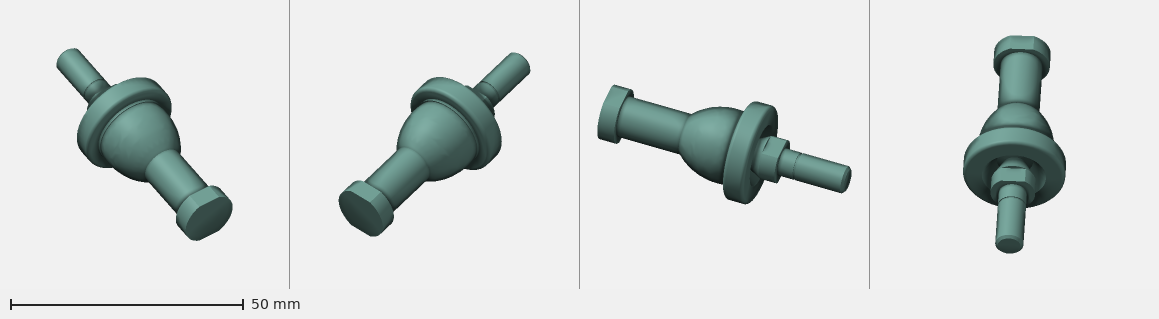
import cadquery as cq
import math

TOTAL_LENGTH = 55.2

SHANK_RADIUS = 3.05
SHANK_CHAMFER = 0.55
GROOVE_START = 11.05
GROOVE_WIDTH = 0.5
GROOVE_DEPTH = 0.2
COLLAR_START = 15.0
COLLAR_END = 18.65
COLLAR_RADIUS = 4.8
COLLAR_ACROSS_FLATS = 8.05
NECK_RADIUS = 2.5
NECK_TAPER_ANGLE = 27.0
BALL_CENTER = 27.75
BALL_RADIUS = 5.3

FLANGE_START = 19.85
FLANGE_WIDTH = 4.85
FLANGE_DIAMETER = 22.0
FLANGE_FILLET = 0.85
HUB_END = 25.35
HUB_RADIUS = 8.35
DOME_START_RADIUS = 8.05
DOME_CREST_X = 27.6
DOME_CREST_RADIUS = 8.3
DOME_END = 37.1
STEM_RADIUS = 4.5
HEAD_LENGTH = 3.8
HEAD_RADIUS = 6.05
HEAD_ACROSS_FLATS = 11.05
RECESS_MOUTH_RADIUS = 6.9
RECESS_INNER_RADIUS = 3.85


def revolve_about_x(profile):
    """Turn a closed half profile, drawn as (x, radius), around the X axis."""
    return profile.close().revolve(360, (0, 0, 0), (1, 0, 0))


def ball_surface_x(radius):
    """X where the near side of the ball has the given radius about the axis."""
    return BALL_CENTER - math.sqrt(BALL_RADIUS**2 - radius**2)


def flatted_disc(start, length, radius, across_flats):
    """Disc along X with two parallel flats facing +Z and -Z."""
    disc = cq.Workplane("YZ", origin=(start, 0, 0)).circle(radius).extrude(length)
    slab = cq.Workplane("YZ", origin=(start, 0, 0)).rect(2 * radius, across_flats).extrude(length)
    return disc.intersect(slab)


def make_ball():
    return cq.Workplane("XY").sphere(BALL_RADIUS).translate((BALL_CENTER, 0, 0))


def make_ball_stud():
    groove_radius = SHANK_RADIUS - GROOVE_DEPTH
    groove_end = GROOVE_START + GROOVE_WIDTH
    shank = revolve_about_x(
        cq.Workplane("XY")
        .lineTo(0, SHANK_RADIUS - SHANK_CHAMFER)
        .lineTo(SHANK_CHAMFER, SHANK_RADIUS)
        .lineTo(GROOVE_START, SHANK_RADIUS)
        .lineTo(GROOVE_START, groove_radius)
        .lineTo(groove_end, groove_radius)
        .lineTo(groove_end, SHANK_RADIUS)
        .lineTo(COLLAR_START, SHANK_RADIUS)
        .lineTo(COLLAR_START, 0)
    )
    collar = flatted_disc(
        COLLAR_START, COLLAR_END - COLLAR_START, COLLAR_RADIUS, COLLAR_ACROSS_FLATS
    )
    taper_length = (COLLAR_RADIUS - NECK_RADIUS) / math.tan(math.radians(NECK_TAPER_ANGLE))
    neck = revolve_about_x(
        cq.Workplane("XY")
        .moveTo(COLLAR_END, 0)
        .lineTo(COLLAR_END, COLLAR_RADIUS)
        .lineTo(COLLAR_END + taper_length, NECK_RADIUS)
        .lineTo(BALL_CENTER, NECK_RADIUS)
        .lineTo(BALL_CENTER, 0)
    )
    return shank.union(collar).union(neck).union(make_ball())


def make_housing_blank():
    """Solid outer form of the housing, from flange face to the end of the head."""
    flange = (
        cq.Workplane("YZ", origin=(FLANGE_START, 0, 0))
        .circle(FLANGE_DIAMETER / 2)
        .extrude(FLANGE_WIDTH)
        .edges()
        .fillet(FLANGE_FILLET)
    )
    flange_end = FLANGE_START + FLANGE_WIDTH
    head_start = TOTAL_LENGTH - HEAD_LENGTH
    body = revolve_about_x(
        cq.Workplane("XY")
        .moveTo(flange_end, 0)
        .lineTo(flange_end, HUB_RADIUS)
        .lineTo(HUB_END, HUB_RADIUS)
        .lineTo(HUB_END, DOME_START_RADIUS)
        .threePointArc((DOME_CREST_X, DOME_CREST_RADIUS), (DOME_END, STEM_RADIUS))
        .lineTo(head_start, STEM_RADIUS)
        .lineTo(head_start, 0)
    )
    head = flatted_disc(head_start, HEAD_LENGTH, HEAD_RADIUS, HEAD_ACROSS_FLATS)
    return flange.union(body).union(head)


def make_recess():
    """Conical mouth that gives the neck room to swing, ending on the ball."""
    return revolve_about_x(
        cq.Workplane("XY")
        .moveTo(FLANGE_START, 0)
        .lineTo(FLANGE_START, RECESS_MOUTH_RADIUS)
        .lineTo(ball_surface_x(RECESS_INNER_RADIUS), RECESS_INNER_RADIUS)
        .lineTo(BALL_CENTER, 0)
    )


def make_housing():
    return make_housing_blank().cut(make_recess()).cut(make_ball())


ball_stud = make_ball_stud()
housing = make_housing()

result = cq.Compound.makeCompound([ball_stud.val(), housing.val()])